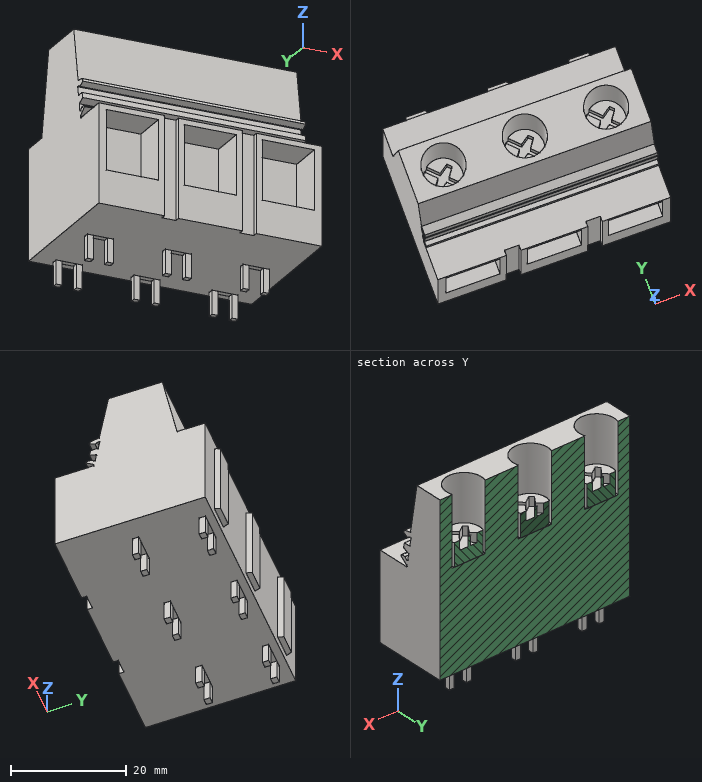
import cadquery as cq

length = 43.0
pole_count = 3
pole_pitch = 15.0
pole_positions = [(i - (pole_count - 1) / 2) * pole_pitch for i in range(pole_count)]
gap_positions = [(a + b) / 2 for a, b in zip(pole_positions, pole_positions[1:])]

housing_depth = 28.05
housing_height = 36.9
front_shoulder_height = 18.95
rear_shoulder_height = 21.3
tower_top_front = 9.98
tower_top_rear = 20.05
tower_foot_rear = 22.8

window_width = 9.98
window_height = 11.45
window_sill = 6.55
window_depth = 7.0

groove_width = 2.65
groove_depth = 1.0

rib_base_width = 4.3
rib_tip_width = 3.6
rib_projection = 1.05
rib_bottom = 1.98
rib_top = 19.15

screw_hole_diameter = 7.83
screw_hole_depth = 15.0
screw_hole_floor = housing_height - screw_hole_depth
screw_y = (tower_top_front + tower_top_rear) / 2
screw_diameter = 7.0
screw_height = 5.0
slot_width = 0.95
cross_arm_span = 4.9
cross_arm_root_width = 1.68
cross_arm_tip_width = 1.0
recess_depth = 2.0
recess_angle = -45.0

pin_size = 1.15
pin_length = 4.55
pin_spacing = 3.85
contact_offset = 0.1
contact_rows = [13.55, 25.97]
crossbar_length = pin_spacing + pin_size
crossbar_height = pin_size


def make_housing_block():
    """Extrude the side profile (Y, Z) over the full length."""
    outline = [
        (0, 0),
        (0, front_shoulder_height),
        (7.25, front_shoulder_height),
        (7.25, 19.3),
        (5.7, 20.5),
        (5.9, 20.8),
        (6.8, 20.8),
        (7.3, 20.3),
        (7.55, 20.42),
        (7.8, 21.85),
        (6.4, 22.5),
        (6.65, 23.55),
        (8.1, 23.55),
        (8.43, 25.33),
        (7.95, 25.33),
        (7.52, 25.0),
        (6.35, 25.6),
        (6.65, 26.2),
        (8.25, 26.5),
        (tower_top_front, housing_height),
        (tower_top_rear, housing_height),
        (tower_foot_rear, rear_shoulder_height),
        (housing_depth, rear_shoulder_height),
        (housing_depth, 0),
    ]
    return cq.Workplane("YZ").polyline(outline).close().extrude(length / 2, both=True)


def make_rear_rib(x):
    """Trapezoidal upright rib standing on the rear face."""
    rear = housing_depth
    tip = housing_depth + rib_projection
    outline = [
        (x - rib_base_width / 2, rear),
        (x + rib_base_width / 2, rear),
        (x + rib_tip_width / 2, tip),
        (x - rib_tip_width / 2, tip),
    ]
    return (
        cq.Workplane("XY")
        .workplane(offset=rib_bottom)
        .polyline(outline)
        .close()
        .extrude(rib_top - rib_bottom)
    )


def make_window(x):
    """Rectangular wire-entry pocket in the front face."""
    return (
        cq.Workplane("XY")
        .box(window_width, window_depth, window_height, centered=(True, False, False))
        .translate((x, 0, window_sill))
    )


def make_groove(x):
    """Upright groove between two poles, running the full height of the front face."""
    return (
        cq.Workplane("XY")
        .box(groove_width, groove_depth, front_shoulder_height, centered=(True, False, False))
        .translate((x, 0, 0))
    )


def make_screw_hole(x):
    """Blind access hole from the top of the tower down to the screw seat."""
    return (
        cq.Workplane("XY")
        .circle(screw_hole_diameter / 2)
        .extrude(screw_hole_depth)
        .translate((x, screw_y, screw_hole_floor))
    )


def make_crossbar(x, y):
    """Bar flush with the underside; also the shape of its recess in the housing."""
    return (
        cq.Workplane("XY")
        .box(crossbar_length, pin_size, crossbar_height, centered=(True, True, False))
        .translate((x, y, 0))
    )


def make_housing():
    housing = make_housing_block()
    for x in gap_positions:
        housing = housing.cut(make_groove(x))
    for x in pole_positions:
        housing = housing.union(make_rear_rib(x))
        housing = housing.cut(make_window(x))
        housing = housing.cut(make_screw_hole(x))
        for y in contact_rows:
            housing = housing.cut(make_crossbar(x + contact_offset, y))
    return housing


def make_drive_recess():
    """Combined drive: a full-width slot crossed by two short tapered arms."""
    slot = cq.Workplane("XY").rect(screw_diameter, slot_width).extrude(recess_depth)
    arms_outline = [
        (-cross_arm_tip_width / 2, -cross_arm_span / 2),
        (cross_arm_tip_width / 2, -cross_arm_span / 2),
        (cross_arm_root_width / 2, -slot_width / 2),
        (cross_arm_root_width / 2, slot_width / 2),
        (cross_arm_tip_width / 2, cross_arm_span / 2),
        (-cross_arm_tip_width / 2, cross_arm_span / 2),
        (-cross_arm_root_width / 2, slot_width / 2),
        (-cross_arm_root_width / 2, -slot_width / 2),
    ]
    arms = cq.Workplane("XY").polyline(arms_outline).close().extrude(recess_depth)
    recess = slot.union(arms).rotate((0, 0, 0), (0, 0, 1), recess_angle)
    return recess.translate((0, 0, screw_height - recess_depth))


def make_screw(x):
    """Screw head resting on the floor of its access hole."""
    head = cq.Workplane("XY").circle(screw_diameter / 2).extrude(screw_height)
    return head.cut(make_drive_recess()).translate((x, screw_y, screw_hole_floor))


def make_contact(x, y):
    """Two square solder pins joined by a crossbar."""
    contact = make_crossbar(x, y)
    for side in (-1, 1):
        pin = (
            cq.Workplane("XY")
            .rect(pin_size, pin_size)
            .extrude(-pin_length)
            .translate((x + side * pin_spacing / 2, y, 0))
        )
        contact = contact.union(pin)
    return contact


housing = make_housing()
screws = [make_screw(x) for x in pole_positions]
contacts = [make_contact(x + contact_offset, y) for x in pole_positions for y in contact_rows]

result = cq.Compound.makeCompound(
    [
        housing.val(),
        *[screw.val() for screw in screws],
        *[contact.val() for contact in contacts],
    ]
)